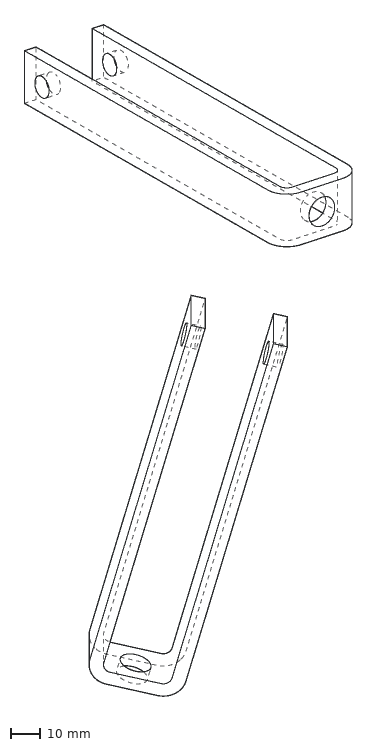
import cadquery as cq

length = 146.0
width = 34.0
height = 20.0

thickness = 5.0
outer_bend_radius = 8.0
inner_bend_radius = outer_bend_radius - thickness

arm_hole_diameter = 8.0
arm_hole_from_end = 10.0
web_hole_diameter = 11.0


def rounded_block(block_length, block_width, bend_radius):
    """Block starting at X = 0 whose two vertical edges at +X are rounded."""
    block = cq.Workplane("XY").box(block_length, block_width, height, centered=(False, True, True))
    return block.edges("|Z and >X").fillet(bend_radius)


def strap():
    """U-shaped strip with its open end at X = 0 and its web at +X."""
    outside = rounded_block(length, width, outer_bend_radius)
    inside = rounded_block(length - thickness, width - 2 * thickness, inner_bend_radius)
    return outside.cut(inside)


def arm_holes():
    """Cylinder along Y that pierces both arms near their free ends."""
    return (
        cq.Workplane("XZ")
        .center(arm_hole_from_end, 0)
        .circle(arm_hole_diameter / 2)
        .extrude(width, both=True)
    )


def web_hole():
    """Cylinder along X that pierces the middle of the web."""
    return cq.Workplane("YZ").circle(web_hole_diameter / 2).extrude(length)


result = strap().cut(arm_holes()).cut(web_hole())